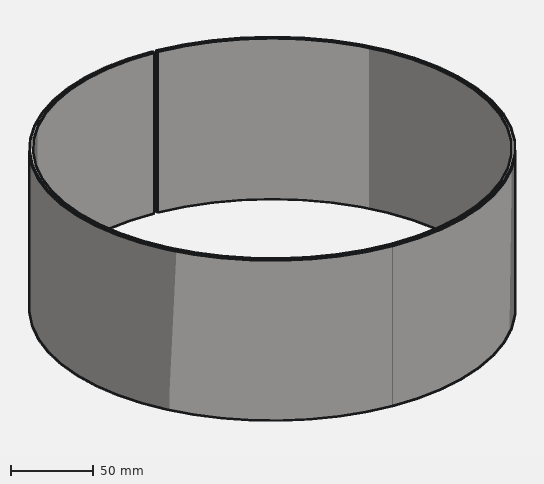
import cadquery as cq
import math

outer_diameter = 295.0
wall_thickness = 2.5
band_height = 110.0
outer_chamfer = 0.5
inner_chamfer = 0.2
slit_angle = 1.0

outer_radius = outer_diameter / 2
inner_radius = outer_radius - wall_thickness


def make_ring():
    """Plain full ring."""
    return (
        cq.Workplane("XY")
        .circle(outer_radius)
        .circle(inner_radius)
        .extrude(band_height)
    )


def chamfer_rims(ring):
    """Break the outer and inner edges of the top and bottom rims."""
    outer_edges = cq.selectors.RadiusNthSelector(-1)
    inner_edges = cq.selectors.RadiusNthSelector(0)
    ring = ring.faces(">Z or <Z").edges(outer_edges).chamfer(outer_chamfer)
    return ring.faces(">Z or <Z").edges(inner_edges).chamfer(inner_chamfer)


def make_slit():
    """Full-height wedge from the band axis, so both slit walls are radial."""
    reach = outer_radius + wall_thickness
    far_side = reach * math.tan(math.radians(slit_angle))
    return (
        cq.Workplane("XY")
        .polyline([(0, 0), (-reach, 0), (-reach, far_side)])
        .close()
        .extrude(band_height)
    )


result = chamfer_rims(make_ring()).cut(make_slit())